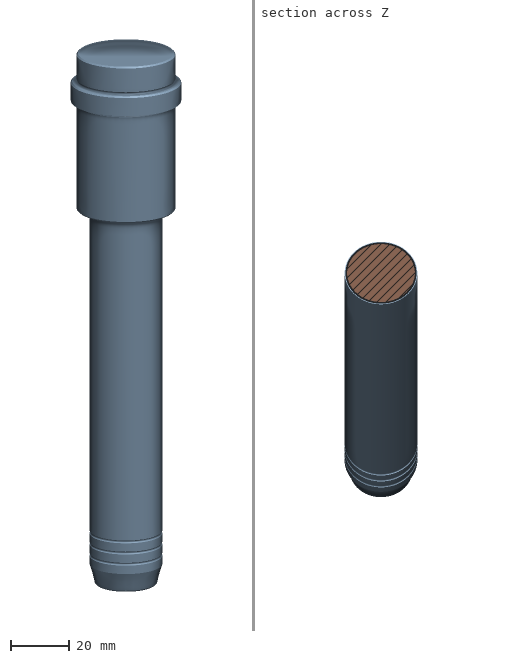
import cadquery as cq

total_length = 190.0
collar_radius = 38.0 / 2
body_radius = 34.0 / 2
stem_radius = 25.0 / 2

body_bottom = total_length - 56.0
collar_top = total_length - 10.0
collar_bottom = total_length - 17.0

top_chamfer = 0.5
body_chamfer = 0.5
collar_chamfer = 0.5
tip_chamfer = 0.5

relief_width = 1.0
relief_depth = 0.5

undercut_width = 1.0
undercut_depth = 0.5

lead_length = 7.0
lead_end_radius = 10.75
lead_hollow = 0.15

groove_count = 3
groove_pitch = 4.0
groove_width = 1.0
groove_depth = 0.5
first_groove_bottom = 10.0


def revolve_profile(profile):
    """Turn a closed profile, drawn as radius and height, around the Z axis."""
    return profile.close().revolve(360, (0, 0, 0), (0, 1, 0))


def cylinder(radius, bottom, top):
    return cq.Workplane("XY").workplane(offset=bottom).circle(radius).extrude(top - bottom)


def round_groove_cutter(surface_radius, depth, bottom, width):
    """Ring that cuts a round-bottomed groove into a cylinder of the given radius."""
    clearance = 1.0
    profile = (
        cq.Workplane("XZ")
        .moveTo(surface_radius + clearance, bottom)
        .lineTo(surface_radius, bottom)
        .threePointArc(
            (surface_radius - depth, bottom + width / 2),
            (surface_radius, bottom + width),
        )
        .lineTo(surface_radius + clearance, bottom + width)
    )
    return revolve_profile(profile)


def make_stem():
    """Stem with its lead-in, tip chamfer, lubrication grooves and undercut."""
    undercut_bottom = body_bottom - undercut_width
    undercut_radius = stem_radius - undercut_depth
    lead_middle_radius = (stem_radius + lead_end_radius) / 2 - lead_hollow
    lead_middle_height = (lead_length + tip_chamfer) / 2
    profile = (
        cq.Workplane("XZ")
        .lineTo(lead_end_radius - tip_chamfer, 0)
        .lineTo(lead_end_radius, tip_chamfer)
        .threePointArc((lead_middle_radius, lead_middle_height), (stem_radius, lead_length))
        .lineTo(stem_radius, undercut_bottom)
        .lineTo(undercut_radius, undercut_bottom)
        .lineTo(undercut_radius, body_bottom)
        .lineTo(0, body_bottom)
    )
    stem = revolve_profile(profile)
    for index in range(groove_count):
        groove_bottom = first_groove_bottom + index * groove_pitch
        stem = stem.cut(round_groove_cutter(stem_radius, groove_depth, groove_bottom, groove_width))
    return stem


def make_body():
    """Cylindrical body with chamfered ends and a relief groove on each side of the collar."""
    body = cylinder(body_radius, body_bottom, total_length)
    body = body.faces(">Z").chamfer(top_chamfer)
    body = body.faces("<Z").chamfer(body_chamfer)
    for relief_bottom in (collar_bottom - relief_width, collar_top):
        body = body.cut(round_groove_cutter(body_radius, relief_depth, relief_bottom, relief_width))
    return body


def make_collar():
    """Collar with its upper outer edge chamfered."""
    return cylinder(collar_radius, collar_bottom, collar_top).faces(">Z").chamfer(collar_chamfer)


result = make_body().union(make_collar()).union(make_stem())